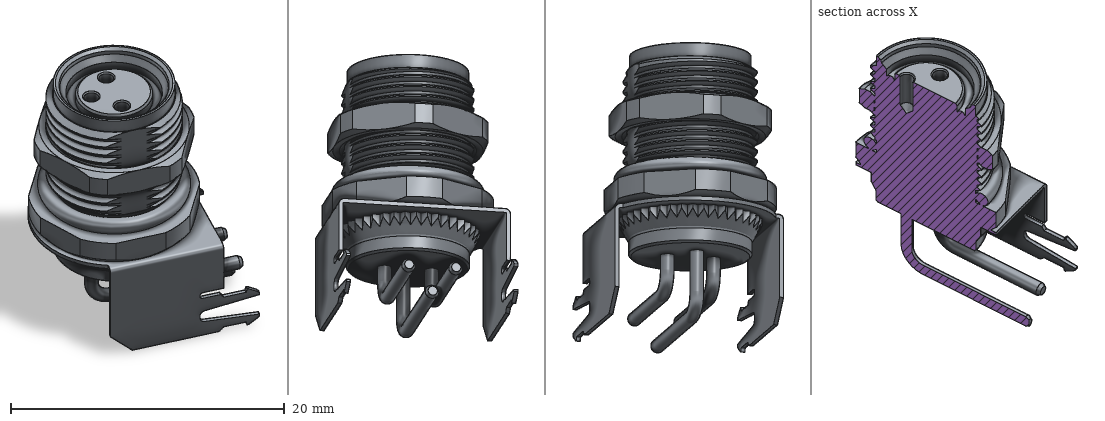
import cadquery as cq
import math


total_height = 20.15
collar_bottom = 19.15
nut_top = 16.16
nut_thickness = 2.0
flange_top = 10.2
flange_bottom = 8.15
serration_rim_bottom = 7.52
cone_bottom = 6.3
body_bottom = 5.12

collar_radius = 4.45
thread_radius = 5.0
thread_root_radius = 4.61
thread_pitch = 0.15 * thread_radius
thread_crest_width = thread_pitch / 8
groove_end_height = 18.88
groove_overrun = 0.1
groove_flank_angle = math.radians(30)
thread_end_chamfer_height = 0.32
thread_flat_width = 9.0

nut_across_flats = 11.0
nut_corner_radius = 6.0
nut_bore_radius = 4.65
nut_countersink_radius = 5.02
nut_countersink_depth = 0.22
nut_chamfer_height = 0.26
nut_chamfer_width = 0.5
flange_across_flats = 12.0
flange_corner_radius = 6.3
flange_chamfer_height = 0.5
flange_chamfer_width = 0.45
ring_tube_radius = 0.6
ring_outer_radius = 5.6

serration_ridge_radius = 5.28
serration_valley_radius = 4.92
serration_count = 40
cone_small_radius = 4.55
cone_step_height = 0.12
rear_radius = 4.51
rear_chamfer = 0.16

mouth_radius = 4.3
throat_radius = 4.03
lead_in_depth = 0.18
seat_top_depth = 0.45
seat_bottom_depth = 0.85
seat_radius = 3.97
bore_radius = 3.53
insert_radius = 2.82
insert_depth = 0.79
insert_chamfer = 0.16
seal_depth = 1.65
contact_hole_radius = 0.55
contact_hole_depth = 3.02
contact_hole_chamfer = 0.1

sheet_thickness = 0.3
bracket_width = 12.8
bracket_back = 6.29
bracket_front = -2.48
bracket_bottom = 0.22
bend_radius = 0.42
corner_chamfer = 1.67
clip_height = 1.95
prong_tip = 9.05
upper_prong_root = 6.02
lower_prong_root = 5.9
slot_end = 4.43
relief_bottom = 3.65
relief_top = 4.17
relief_fillet = 0.25
clip_slot_tip_half_width = 0.9
clip_slot_end_half_width = 0.46
clip_slot_fillet = 0.4

pin_radius = 0.5
pin_offset = 1.75
pin_tip = 9.25
pin_bend_radius = 1.5
pin_tip_chamfer_length = 0.28
pin_tip_chamfer_width = 0.16
side_pin_rise = 1.91
pin_places = [(-pin_offset, 0), (pin_offset, 0), (0, -pin_offset)]


def revolve_profile(points):
    """Revolve (radius, height) points about the Z axis."""
    return cq.Workplane("XZ").polyline(points).close().revolve(360, (0, 0, 0), (0, 1, 0))


def torus(centre_radius, tube_radius, height):
    ring = cq.Workplane("XZ").center(centre_radius, height).circle(tube_radius)
    return ring.revolve(360, (-centre_radius, 0, 0), (-centre_radius, 1, 0))


def hexagon(across_flats, bottom, height):
    """Hexagonal prism with flats facing +X and -X."""
    corner_diameter = across_flats / math.cos(math.radians(30))
    blank = cq.Workplane("XY").workplane(offset=bottom).polygon(6, corner_diameter)
    return blank.extrude(height).rotate((0, 0, 0), (0, 0, 1), 30)


def make_threaded_body():
    thread_bottom = flange_top + 2 * ring_tube_radius
    body = revolve_profile([
        (0, thread_bottom),
        (rear_radius, thread_bottom),
        (thread_radius, thread_bottom + thread_end_chamfer_height),
        (thread_radius, collar_bottom - thread_end_chamfer_height),
        (rear_radius, collar_bottom),
        (0, collar_bottom),
    ])

    flats = cq.Workplane("XY").box(thread_flat_width, 3 * thread_radius, 2 * total_height)
    body = body.intersect(flats)

    outer = thread_radius + groove_overrun
    crest_half = (thread_pitch - thread_crest_width) / 2
    root_half = crest_half - (thread_radius - thread_root_radius) * math.tan(groove_flank_angle)
    outer_half = crest_half + (outer - thread_radius) * math.tan(groove_flank_angle)
    half_pitch = thread_pitch / 2
    path = cq.Wire.makeHelix(thread_pitch, half_pitch, thread_root_radius)
    half_turn = (
        cq.Workplane("XZ")
        .polyline([
            (thread_root_radius, -root_half),
            (outer, -outer_half),
            (outer, outer_half),
            (thread_root_radius, root_half),
        ])
        .close()
        .sweep(cq.Workplane(obj=path), isFrenet=True)
    )
    half_turn_count = math.ceil((groove_end_height - thread_bottom) / half_pitch)
    for i in range(half_turn_count):
        start_height = groove_end_height - (i + 1) * half_pitch
        start_angle = 180 * (i % 2)
        groove = half_turn.rotate((0, 0, 0), (0, 0, 1), start_angle)
        body = body.cut(groove.translate((0, 0, start_height)))
    return body


def make_core():
    """Plain collar and the neck that carries the O-ring."""
    collar = cq.Workplane("XY").workplane(offset=collar_bottom).circle(collar_radius)
    neck = cq.Workplane("XY").workplane(offset=flange_top).circle(collar_radius)
    ring_height = flange_top + ring_tube_radius
    return (
        neck.extrude(2 * ring_tube_radius)
        .union(collar.extrude(total_height - collar_bottom))
        .union(torus(ring_outer_radius - ring_tube_radius, ring_tube_radius, ring_height))
    )


def make_nut():
    bottom = nut_top - nut_thickness
    face_radius = nut_corner_radius - nut_chamfer_width
    envelope = revolve_profile([
        (nut_bore_radius, bottom + nut_countersink_depth),
        (nut_countersink_radius, bottom),
        (face_radius, bottom),
        (nut_corner_radius, bottom + nut_chamfer_height),
        (nut_corner_radius, nut_top - nut_chamfer_height),
        (face_radius, nut_top),
        (nut_countersink_radius, nut_top),
        (nut_bore_radius, nut_top - nut_countersink_depth),
    ])
    return hexagon(nut_across_flats, bottom, nut_thickness).intersect(envelope)


def make_flange():
    envelope = revolve_profile([
        (0, flange_bottom),
        (flange_corner_radius - flange_chamfer_width, flange_bottom),
        (flange_corner_radius, flange_bottom + flange_chamfer_height),
        (flange_corner_radius, flange_top),
        (0, flange_top),
    ])
    prism = hexagon(flange_across_flats, flange_bottom, flange_top - flange_bottom)
    return prism.intersect(envelope)


def make_rear():
    """Serrated cone and the plain cylinder behind it."""
    blank = revolve_profile([
        (0, body_bottom),
        (rear_radius - rear_chamfer, body_bottom),
        (rear_radius, body_bottom + rear_chamfer),
        (rear_radius, cone_bottom - cone_step_height),
        (cone_small_radius, cone_bottom),
        (serration_ridge_radius, serration_rim_bottom),
        (serration_ridge_radius, flange_bottom),
        (0, flange_bottom),
    ])
    star = []
    for i in range(2 * serration_count):
        radius = serration_ridge_radius if i % 2 else serration_valley_radius
        angle = math.pi * i / serration_count
        star.append((radius * math.cos(angle), radius * math.sin(angle)))
    return blank.intersect(cq.Workplane("XY").polyline(star).close().extrude(total_height))


def make_socket_cavity():
    """Stepped ring-shaped opening around the contact insert, with the contact holes."""
    seal_height = total_height - seal_depth
    insert_top = total_height - insert_depth
    cavity = revolve_profile([
        (0, total_height),
        (mouth_radius, total_height),
        (throat_radius, total_height - lead_in_depth),
        (seat_radius, total_height - seat_top_depth),
        (bore_radius, total_height - seat_bottom_depth),
        (bore_radius, seal_height),
        (insert_radius, seal_height),
        (insert_radius, insert_top - insert_chamfer),
        (insert_radius - insert_chamfer, insert_top),
        (0, insert_top),
    ])
    seal_centre_radius = (bore_radius + insert_radius) / 2
    cavity = cavity.cut(torus(seal_centre_radius, (bore_radius - insert_radius) / 2, seal_height))

    hole_bottom = insert_top - contact_hole_depth
    hole = revolve_profile([
        (0, insert_top),
        (contact_hole_radius + contact_hole_chamfer, insert_top),
        (contact_hole_radius, insert_top - contact_hole_chamfer),
        (contact_hole_radius, hole_bottom),
        (0, hole_bottom - contact_hole_radius),
    ])
    for x, y in pin_places:
        cavity = cavity.union(hole.translate((x, y, 0)))
    return cavity


def make_bracket():
    """Flat plate with two bent-down side walls, each ending in a split spring clip."""
    half_width = bracket_width / 2
    length = prong_tip - bracket_front
    channel = (
        cq.Workplane("XZ", origin=(0, prong_tip, 0))
        .rect(bracket_width, 2 * flange_bottom)
        .extrude(length)
        .edges("|Y and >Z").fillet(bend_radius)
    )
    inside = (
        cq.Workplane("XZ", origin=(0, prong_tip, 0))
        .rect(bracket_width - 2 * sheet_thickness, 2 * (flange_bottom - sheet_thickness))
        .extrude(length)
        .edges("|Y and >Z").fillet(bend_radius - sheet_thickness)
    )

    prong_edge = [
        (6.27, 1.4),
        (8.0, 1.4),
        (8.08, 1.67),
        (8.18, 1.67),
        (8.87, 1.25),
        (prong_tip, 1.07),
    ]
    upper_edge = [(y, clip_height + rise) for y, rise in prong_edge]
    lower_edge = [(y, clip_height - rise) for y, rise in reversed(prong_edge)]
    outline = [
        (bracket_front, flange_bottom),
        (bracket_back, flange_bottom),
        (bracket_back, relief_bottom),
        (upper_prong_root, relief_bottom),
        *upper_edge,
        *lower_edge,
        (lower_prong_root, bracket_bottom),
        (bracket_front + corner_chamfer, bracket_bottom),
        (bracket_front, bracket_bottom + corner_chamfer),
    ]
    side = cq.Workplane("YZ").polyline(outline).close().extrude(half_width, both=True)

    clip_slot = (
        cq.Workplane("YZ", origin=(0, 0, clip_height))
        .polyline([
            (slot_end, -clip_slot_end_half_width),
            (prong_tip, -clip_slot_tip_half_width),
            (prong_tip, clip_slot_tip_half_width),
            (slot_end, clip_slot_end_half_width),
        ])
        .close()
        .extrude(half_width, both=True)
        .edges("|X and <Y").fillet(clip_slot_fillet)
    )
    relief = (
        cq.Workplane("YZ")
        .moveTo(slot_end, relief_bottom)
        .lineTo(bracket_back, relief_bottom)
        .lineTo(bracket_back, relief_top)
        .lineTo(slot_end, relief_top)
        .close()
        .extrude(half_width, both=True)
        .edges("|X and <Y").fillet(relief_fillet)
    )
    disc = (
        cq.Workplane("XY")
        .workplane(offset=flange_bottom - sheet_thickness)
        .circle(flange_corner_radius)
        .extrude(sheet_thickness)
    )
    between_bends = cq.Workplane("XY").box(
        bracket_width - 2 * bend_radius, 3 * bracket_width, 2 * total_height
    )
    disc = disc.intersect(between_bends)
    return channel.cut(inside).intersect(side).cut(clip_slot).cut(relief).union(disc)


def make_pin(x, y, rise):
    """Pin that drops from the body and bends back toward +Y."""
    run_height = rise + pin_radius
    bend_top = run_height + pin_bend_radius
    straight_end = pin_tip - pin_tip_chamfer_length
    diagonal = pin_bend_radius * math.sqrt(0.5)
    path = (
        cq.Workplane("YZ", origin=(x, 0, 0))
        .moveTo(y, cone_bottom)
        .lineTo(y, bend_top)
        .threePointArc(
            (y + pin_bend_radius - diagonal, bend_top - diagonal),
            (y + pin_bend_radius, run_height),
        )
        .lineTo(straight_end, run_height)
    )
    bar = cq.Workplane("XY", origin=(x, y, cone_bottom)).circle(pin_radius).sweep(path)
    tip = cq.Solid.makeCone(
        pin_radius,
        pin_radius - pin_tip_chamfer_width,
        pin_tip_chamfer_length,
        pnt=cq.Vector(x, straight_end, run_height),
        dir=cq.Vector(0, 1, 0),
    )
    return bar.union(cq.Workplane(obj=tip))


result = make_threaded_body().union(make_core()).union(make_nut())
result = result.union(make_flange()).union(make_rear())
result = result.cut(make_socket_cavity()).union(make_bracket())
for pin_x, pin_y in pin_places:
    pin_rise = side_pin_rise if pin_x else 0
    result = result.union(make_pin(pin_x, pin_y, pin_rise))